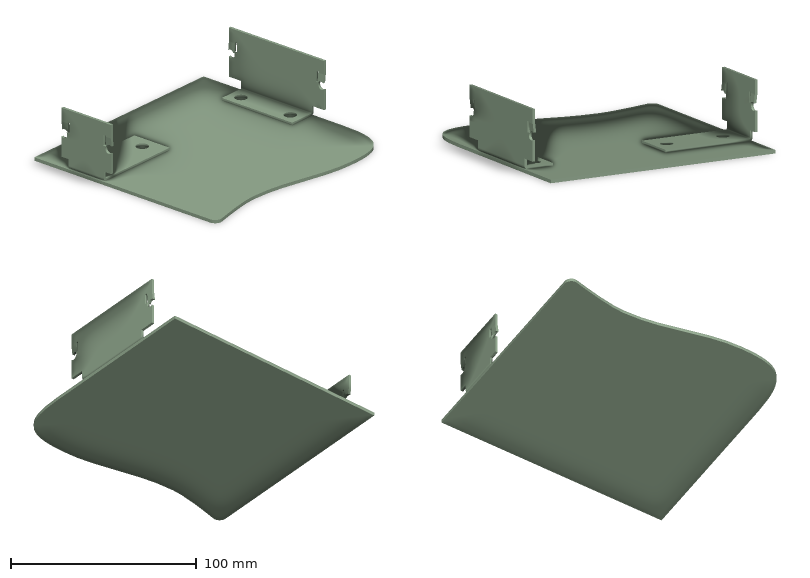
import cadquery as cq
import math

plate_length = 140.0
plate_thickness = 2.0
wave_start_x = 98.5
crest = (133.3, 107.0)
trough = (122.8, 38.5)
start_handle = 29.3
crest_upper_handle = 25.0
crest_lower_handle = 23.8
trough_upper_handle = 26.3
trough_lower_handle = 8.8
end_handle = 10.1
wave_end_slope = 14.0
corner_radius = 4.2
corner_center_x = 124.7

total_height = 37.0
sheet = 1.5
inner_bend_radius = 0.5
outer_bend_radius = inner_bend_radius + sheet
bracket_height = total_height - plate_thickness
shoulder_height = 6.0
bracket_left_x = 19.3
leg_hole_diameter = 7.3
leg_hole_pitch = 35.0

narrow_wall_width = 35.1
narrow_neck_width = 25.0
narrow_leg_length = 54.5
narrow_first_hole_y = 11.3

wide_wall_width = 67.5
wide_neck_width = 50.0
wide_leg_length = 17.6
wide_hole_y = 10.5

tab_width = 4.0
tab_bend_depth = 8.0
tab_offset = 0.7
slot_width = 1.5
slot_top_depth = 7.4
slot_bottom_depth = 13.7
notch_diameter = 5.0
notch_center_inset = 1.5
notch_center_depth = 15.0


def shifted(point, dx, dy):
    return (point[0] + dx, point[1] + dy)


def make_plate():
    slope = math.radians(wave_end_slope)
    wave_start = (wave_start_x, plate_length)
    wave_end = (
        corner_center_x + corner_radius * math.cos(slope),
        corner_radius + corner_radius * math.sin(slope),
    )
    start_to_crest = [
        wave_start,
        shifted(wave_start, start_handle, 0),
        shifted(crest, 0, crest_upper_handle),
        crest,
    ]
    crest_to_trough = [
        crest,
        shifted(crest, 0, -crest_lower_handle),
        shifted(trough, 0, trough_upper_handle),
        trough,
    ]
    trough_to_end = [
        trough,
        shifted(trough, 0, -trough_lower_handle),
        shifted(wave_end, -end_handle * math.sin(slope), end_handle * math.cos(slope)),
        wave_end,
    ]
    return (
        cq.Workplane("XY")
        .lineTo(0, plate_length)
        .lineTo(*wave_start)
        .bezier(start_to_crest)
        .bezier(crest_to_trough)
        .bezier(trough_to_end)
        .tangentArcPoint((corner_center_x, 0), relative=False)
        .close()
        .extrude(plate_thickness)
    )




def bent_strip(neck_width, leg_length):
    """Neck of the wall and leg, joined by a rounded bend."""
    return (
        cq.Workplane("YZ")
        .moveTo(leg_length, 0)
        .lineTo(outer_bend_radius, 0)
        .tangentArcPoint((0, outer_bend_radius), relative=False)
        .lineTo(0, bracket_height)
        .lineTo(sheet, bracket_height)
        .lineTo(sheet, outer_bend_radius)
        .tangentArcPoint((outer_bend_radius, sheet), relative=False)
        .lineTo(leg_length, sheet)
        .close()
        .extrude(neck_width / 2, both=True)
    )


def wall_block(x_start, x_end, z_low, z_high):
    """Rectangular piece of the wall, through its full thickness."""
    return cq.Workplane("XY").box(
        x_end - x_start, sheet, z_high - z_low, centered=False
    ).translate((x_start, 0, z_low))


def leaning_tab(x_start, x_end, z_low, z_high):
    """Tab that leans inward from its bend line at z_high."""
    return (
        cq.Workplane("YZ", origin=(x_start, 0, 0))
        .moveTo(0, z_high)
        .lineTo(sheet, z_high)
        .lineTo(sheet + tab_offset, z_low)
        .lineTo(tab_offset, z_low)
        .close()
        .extrude(x_end - x_start)
    )


def add_edge_tab(bracket, wall_width, side):
    """Cut the slot and notch and bend the tab at one side edge (side = -1 or +1)."""
    edge = side * wall_width / 2
    tab_x = sorted([edge, edge - side * tab_width])
    slot_x = sorted([edge - side * tab_width, edge - side * (tab_width + slot_width)])
    bend_z = bracket_height - tab_bend_depth
    slot_top_z = bracket_height - slot_top_depth
    slot_bottom_z = bracket_height - slot_bottom_depth
    notch = (
        cq.Workplane("XZ")
        .center(edge - side * notch_center_inset, bracket_height - notch_center_depth)
        .circle(notch_diameter / 2)
        .extrude(-(sheet + tab_offset))
    )
    return (
        bracket.cut(wall_block(*slot_x, slot_bottom_z, slot_top_z))
        .cut(wall_block(*tab_x, slot_bottom_z, bend_z))
        .union(leaning_tab(*tab_x, slot_bottom_z, bend_z))
        .cut(notch)
    )


def make_bracket(wall_width, neck_width, leg_length, hole_points):
    wall = wall_block(-wall_width / 2, wall_width / 2, shoulder_height, bracket_height)
    holes = (
        cq.Workplane("XY")
        .pushPoints(hole_points)
        .circle(leg_hole_diameter / 2)
        .extrude(sheet)
    )
    bracket = bent_strip(neck_width, leg_length).union(wall).cut(holes)
    for side in (-1, 1):
        bracket = add_edge_tab(bracket, wall_width, side)
    return bracket


plate = make_plate()

narrow_bracket = make_bracket(
    narrow_wall_width,
    narrow_neck_width,
    narrow_leg_length,
    [(0, narrow_first_hole_y), (0, narrow_first_hole_y + leg_hole_pitch)],
).translate((bracket_left_x + narrow_wall_width / 2, 0, plate_thickness))

wide_bracket = make_bracket(
    wide_wall_width,
    wide_neck_width,
    wide_leg_length,
    [(-leg_hole_pitch / 2, wide_hole_y), (leg_hole_pitch / 2, wide_hole_y)],
).rotate((0, 0, 0), (0, 0, 1), 180).translate(
    (bracket_left_x + wide_wall_width / 2, plate_length, plate_thickness)
)

result = cq.Compound.makeCompound([plate.val(), narrow_bracket.val(), wide_bracket.val()])